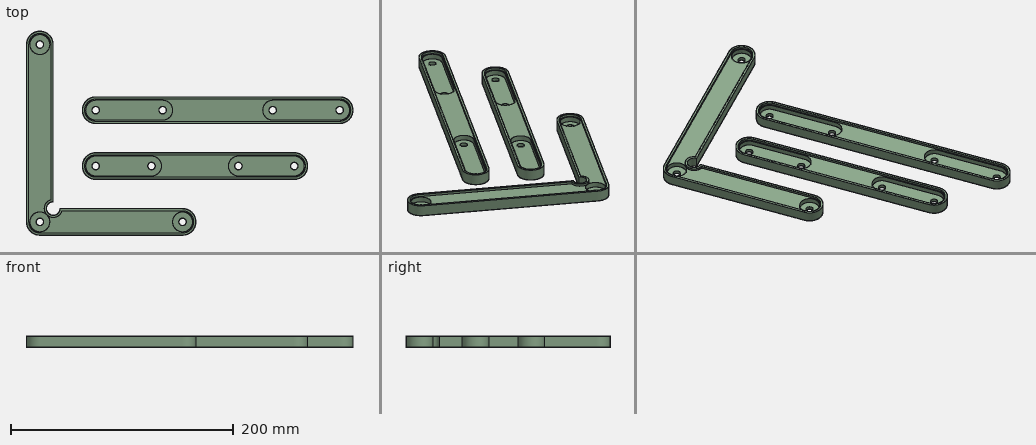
import cadquery as cq
import math

arm_width = 24.0
thickness = 10.0
rim_width = 2.0
recess_depth = 2.0
floor_thickness = 3.2

hole_diameter = 6.5
pocket_diameter = 18.0

leg_x = 128.0
leg_y = 159.0
notch_diameter = 12.0

x_bar_span = 178.0
x_bar_slot = 50.0
y_bar_span = 219.0
y_bar_slot = 60.0

bar_pitch = 50.0
x_bar_start = (bar_pitch, bar_pitch)
y_bar_start = (bar_pitch, 2 * bar_pitch)

recess_width = arm_width - 2 * rim_width
recess_floor = thickness - recess_depth


def rounded_strip(start, length, width, bottom, top, angle=0):
    """Strip with full-round ends, running from the end centre `start` in direction `angle`."""
    middle_x = start[0] + length / 2 * math.cos(math.radians(angle))
    middle_y = start[1] + length / 2 * math.sin(math.radians(angle))
    return (
        cq.Workplane("XY", origin=(middle_x, middle_y, bottom))
        .slot2D(length + width, width, angle)
        .extrude(top - bottom)
    )


def cylinder(center, diameter, bottom, top):
    """Upright cylinder between two heights."""
    return cq.Workplane("XY", origin=(*center, bottom)).circle(diameter / 2).extrude(top - bottom)


def drill_holes(body, centers):
    """Cut a screw hole right through the body at each centre."""
    for center in centers:
        body = body.cut(cylinder(center, hole_diameter, 0, thickness))
    return body


def make_bar(start, span, slot_length):
    """Straight bar with a rimmed top and a deep slot at each end, holed at both slot ends."""
    bar = rounded_strip(start, span, arm_width, 0, thickness)
    bar = bar.cut(rounded_strip(start, span, recess_width, recess_floor, thickness))
    hole_centers = []
    for offset in (0, span - slot_length):
        slot_start = (start[0] + offset, start[1])
        slot_end = (slot_start[0] + slot_length, start[1])
        bar = bar.cut(rounded_strip(slot_start, slot_length, pocket_diameter, floor_thickness, thickness))
        hole_centers += [slot_start, slot_end]
    return drill_holes(bar, hole_centers)


def bracket_outline(width, corner_cut_diameter, bottom, top):
    """L of two round-ended legs of the given width, relieved by a circle at the inner corner."""
    corner = (0, 0)
    legs = rounded_strip(corner, leg_x, width, bottom, top)
    legs = legs.union(rounded_strip(corner, leg_y, width, bottom, top, angle=90))
    inner_corner = (arm_width / 2, arm_width / 2)
    return legs.cut(cylinder(inner_corner, corner_cut_diameter, bottom, top))


def make_bracket():
    """Corner bracket with a rimmed top and a pocketed screw hole at the corner and each leg end."""
    bracket = bracket_outline(arm_width, notch_diameter, 0, thickness)
    recess_notch = notch_diameter + 2 * rim_width
    bracket = bracket.cut(bracket_outline(recess_width, recess_notch, recess_floor, thickness))
    hole_centers = [(0, 0), (leg_x, 0), (0, leg_y)]
    for center in hole_centers:
        bracket = bracket.cut(cylinder(center, pocket_diameter, floor_thickness, thickness))
    return drill_holes(bracket, hole_centers)


corner_bracket = make_bracket()
x_bar = make_bar(x_bar_start, x_bar_span, x_bar_slot)
y_bar = make_bar(y_bar_start, y_bar_span, y_bar_slot)

result = cq.Compound.makeCompound([corner_bracket.val(), x_bar.val(), y_bar.val()])